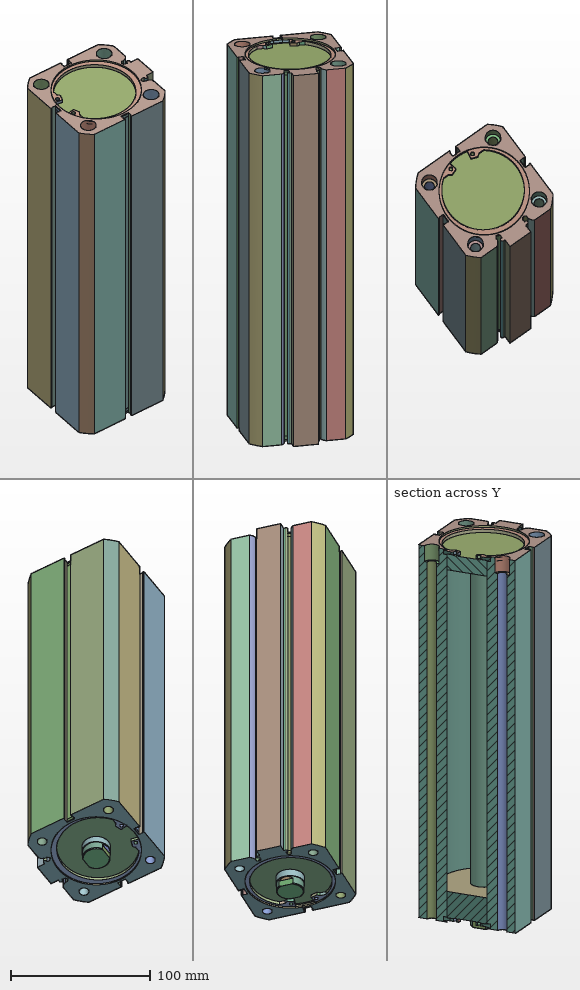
import cadquery as cq

housing_width = 77.5
overall_depth = 83.0
housing_length = 284.5
corner_turn_radius = 49.5
half_width = housing_width / 2

bore_radius = 32.5
ring_groove_radius = 33.9
ring_thickness = 2.5
ring_inset = 1.3

slot_width = 6.4
slot_floor_radius = 34.15
slot_mouth_width = 5.5
slot_lip_thickness = 1.2

rail_half_width = 9.25
rail_top = overall_depth - half_width
nose_radius = 1.35
nose_center_x = 10.55
nose_center_y = 36.75
groove_inner_x = 10.05
groove_radius = 1.8
groove_center_y = 33.75
groove_mouth_x = 16.7
groove_mouth_bulge = (15.0, 37.3)
shoulder_start_y = 34.9

hole_offset = 28.2
hole_diameter = 7.0
counterbore_diameter = 11.2
counterbore_depth = 12.0

ring_inner_radius = 29.7
ring_inner_offset = 1.45
lug_hole_x = 9.6
lug_hole_y = -27.6
lug_hole_diameter = 2.6
lug_gap_top = (6.6, -25.3)
lug_peak = (11.5, -23.6)
lug_shoulder_y = -25.2
lug_shoulder_x = 13.5
ring_end_x = 18.1
gap_bottom_half_width = 7.9

head_cover_thickness = 12.0
rod_cover_thickness = 20.0
boss_diameter = 20.8
boss_projection = 1.8

rod_diameter = 20.0
rod_projection = 8.5
rod_chamfer = 0.6
flat_width = 17.0
flat_top = -3.6

cover_seat = ring_inset + ring_thickness
head_cover_bottom = housing_length - cover_seat - head_cover_thickness


def cylinder(radius, bottom, top):
    return cq.Workplane("XY").workplane(offset=bottom).circle(radius).extrude(top - bottom)


def rail_groove():
    """Groove beside the rail on the +X side, including the space above it beside the rail."""
    outer_x = groove_inner_x + 2 * groove_radius
    middle_x = groove_inner_x + groove_radius
    return (
        cq.Workplane("XY")
        .moveTo(rail_half_width, half_width)
        .lineTo(rail_half_width, nose_center_y + nose_radius)
        .lineTo(nose_center_x, nose_center_y + nose_radius)
        .threePointArc(
            (nose_center_x + nose_radius, nose_center_y),
            (nose_center_x, nose_center_y - nose_radius),
        )
        .lineTo(groove_inner_x, nose_center_y - nose_radius)
        .lineTo(groove_inner_x, groove_center_y)
        .threePointArc((middle_x, groove_center_y - groove_radius), (outer_x, groove_center_y))
        .lineTo(outer_x, shoulder_start_y)
        .threePointArc(groove_mouth_bulge, (groove_mouth_x, half_width))
        .close()
        .extrude(housing_length)
    )


def sensor_slot():
    """Slot in the +X face, narrowed at the mouth by a lip on each side."""
    inner_depth = half_width - slot_lip_thickness - slot_floor_radius
    mouth_depth = half_width - slot_floor_radius
    inner = (
        cq.Workplane("XY")
        .center(slot_floor_radius + inner_depth / 2, 0)
        .rect(inner_depth, slot_width)
        .extrude(housing_length)
    )
    mouth = (
        cq.Workplane("XY")
        .center(slot_floor_radius + mouth_depth / 2, 0)
        .rect(mouth_depth, slot_mouth_width)
        .extrude(housing_length)
    )
    return inner.union(mouth)


def make_profile():
    """Square extrusion with turned corners, mounting rail, rail grooves and sensor slots."""
    square = cq.Workplane("XY").rect(housing_width, housing_width).extrude(housing_length)
    profile = square.intersect(cylinder(corner_turn_radius, 0, housing_length))

    rail_height = rail_top - bore_radius
    rail = (
        cq.Workplane("XY")
        .center(0, rail_top - rail_height / 2)
        .rect(2 * rail_half_width, rail_height)
        .extrude(housing_length)
    )
    profile = profile.union(rail)

    groove = rail_groove()
    profile = profile.cut(groove).cut(groove.mirror("YZ"))

    slot = sensor_slot()
    for angle in (0, 180, 270):
        profile = profile.cut(slot.rotate((0, 0, 0), (0, 0, 1), angle))
    return profile


def make_housing():
    housing = make_profile()
    housing = housing.cut(cylinder(bore_radius, 0, housing_length))
    for groove_bottom in (ring_inset, housing_length - cover_seat):
        housing = housing.cut(cylinder(ring_groove_radius, groove_bottom, groove_bottom + ring_thickness))
    return (
        housing.faces(">Z")
        .workplane(origin=(0, 0, housing_length))
        .rect(2 * hole_offset, 2 * hole_offset, forConstruction=True)
        .vertices()
        .cboreHole(hole_diameter, counterbore_diameter, counterbore_depth)
    )


def make_snap_ring(bottom):
    """Eccentric internal snap ring with two drilled lugs beside the gap on the -Y side."""
    disc = cylinder(ring_groove_radius, 0, ring_thickness)
    opening = (
        cq.Workplane("XY")
        .center(0, -ring_inner_offset)
        .circle(ring_inner_radius)
        .extrude(ring_thickness)
    )
    lug = (
        cq.Workplane("XY")
        .moveTo(*lug_gap_top)
        .lineTo(*lug_peak)
        .lineTo(lug_shoulder_x, lug_shoulder_y)
        .lineTo(ring_end_x, lug_shoulder_y)
        .lineTo(ring_end_x, -bore_radius)
        .lineTo(gap_bottom_half_width, -bore_radius)
        .close()
        .extrude(ring_thickness)
    )
    gap = (
        cq.Workplane("XY")
        .moveTo(*lug_gap_top)
        .lineTo(gap_bottom_half_width, -bore_radius)
        .lineTo(gap_bottom_half_width, -half_width)
        .lineTo(-gap_bottom_half_width, -half_width)
        .lineTo(-gap_bottom_half_width, -bore_radius)
        .lineTo(-lug_gap_top[0], lug_gap_top[1])
        .close()
        .extrude(ring_thickness)
    )
    lug_holes = (
        cq.Workplane("XY")
        .pushPoints([(-lug_hole_x, lug_hole_y), (lug_hole_x, lug_hole_y)])
        .circle(lug_hole_diameter / 2)
        .extrude(ring_thickness)
    )
    ring = disc.cut(opening.cut(lug).cut(lug.mirror("YZ"))).cut(gap).cut(lug_holes)
    return ring.translate((0, 0, bottom))


def make_head_cover():
    return cylinder(bore_radius, head_cover_bottom, head_cover_bottom + head_cover_thickness)


def make_rod_cover():
    """Disc behind the lower snap ring with a boss that guides the rod out of the housing."""
    cover_top = cover_seat + rod_cover_thickness
    disc = cylinder(bore_radius, cover_seat, cover_top)
    boss = cylinder(boss_diameter / 2, -boss_projection, cover_seat)
    return disc.union(boss).cut(cylinder(rod_diameter / 2, -boss_projection, cover_top))


def make_rod():
    """Rod with a chamfered end and two wrench flats that run out at 45 degrees."""
    rod_radius = rod_diameter / 2
    rod = cylinder(rod_radius, -rod_projection, head_cover_bottom).faces("<Z").chamfer(rod_chamfer)
    flat_y = flat_width / 2
    run_out = rod_radius - flat_y
    flat_cut = (
        cq.Workplane("YZ")
        .moveTo(flat_y, -rod_projection)
        .lineTo(flat_y, flat_top)
        .lineTo(rod_radius, flat_top + run_out)
        .lineTo(rod_radius, -rod_projection)
        .close()
        .extrude(rod_radius, both=True)
    )
    return rod.cut(flat_cut).cut(flat_cut.mirror("XZ"))


housing = make_housing()
snap_rings = [make_snap_ring(bottom) for bottom in (ring_inset, housing_length - cover_seat)]
head_cover = make_head_cover()
rod_cover = make_rod_cover()
rod = make_rod()

result = cq.Compound.makeCompound(
    [
        housing.val(),
        *[ring.val() for ring in snap_rings],
        head_cover.val(),
        rod_cover.val(),
        rod.val(),
    ]
)